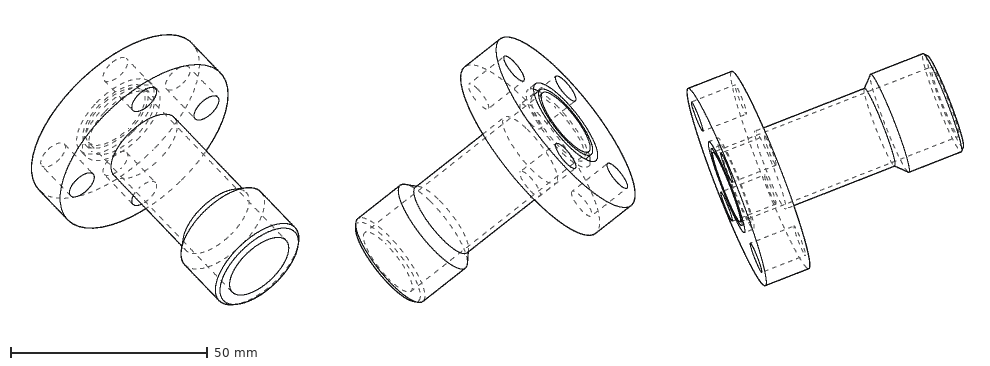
import cadquery as cq

length = 60.0

flange_diameter = 54.0
flange_thickness = 12.0
bolt_hole_count = 4
bolt_hole_diameter = 8.0
bolt_circle_diameter = 40.0

neck_diameter = 21.3
collar_diameter = 26.9
collar_length = 18.0
collar_chamfer = 0.85

bore_diameter = 19.0
groove_outer_diameter = 24.9
groove_inner_diameter = 21.0
groove_depth = 2.5

cone_length = (collar_diameter - neck_diameter) / 2


def cylinder(diameter, start, end):
    """Cylinder on the X axis between two X positions."""
    return cq.Workplane("YZ", origin=(start, 0, 0)).circle(diameter / 2).extrude(end - start)


def make_collar():
    """Collar with a conical shoulder and a chamfered end."""
    start = length - collar_length
    collar_radius = collar_diameter / 2
    profile = (
        cq.Workplane("XY")
        .moveTo(start, 0)
        .lineTo(start, neck_diameter / 2)
        .lineTo(start + cone_length, collar_radius)
        .lineTo(length - collar_chamfer, collar_radius)
        .lineTo(length, collar_radius - collar_chamfer)
        .lineTo(length, 0)
        .close()
    )
    return profile.revolve(360, (0, 0, 0), (1, 0, 0))


def make_bolt_holes():
    """Bolt holes on the Y and Z axes, through the flange."""
    return (
        cq.Workplane("YZ")
        .polarArray(bolt_circle_diameter / 2, 0, 360, bolt_hole_count)
        .circle(bolt_hole_diameter / 2)
        .extrude(flange_thickness)
    )


def make_face_groove():
    """Ring-shaped groove that leaves a lip flush with the flange face."""
    outer = cylinder(groove_outer_diameter, 0, groove_depth)
    return outer.cut(cylinder(groove_inner_diameter, 0, groove_depth))


flange = cylinder(flange_diameter, 0, flange_thickness)
neck = cylinder(neck_diameter, 0, length - collar_length)
body = flange.union(neck).union(make_collar())

result = (
    body.cut(make_bolt_holes())
    .cut(cylinder(bore_diameter, 0, length))
    .cut(make_face_groove())
)